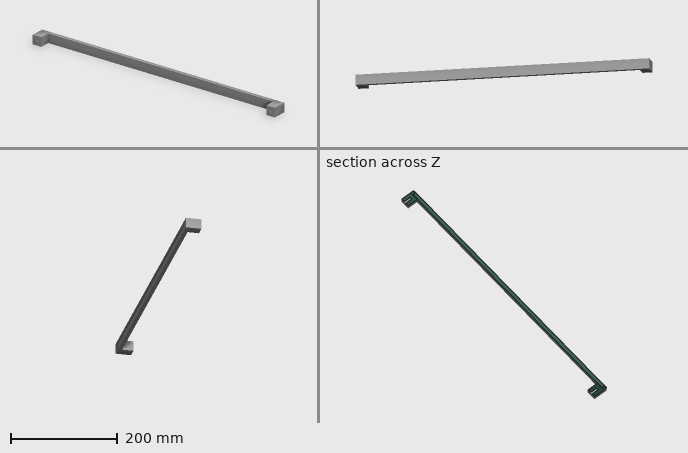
import cadquery as cq

length = 564.0
depth = 30.0
height = 20.0

post_width = 20.0
post_center_x = (length - post_width) / 2

bar_thickness = 8.0
end_wall = 5.0
bar_length = length - 2 * end_wall
bar_center_y = (depth - bar_thickness) / 2

screw_hole_diameter = 4.0
screw_hole_depth = 14.0


def make_bar():
    """Plain rectangular bar, flush with the back of the posts."""
    return cq.Workplane("XY").box(bar_length, bar_thickness, height).translate((0, bar_center_y, 0))


def make_post(center_x):
    """Rectangular post with a recess for the bar end and a screw hole."""
    block = cq.Workplane("XY").box(post_width, depth, height)
    drilled = block.faces("<Y").workplane().hole(screw_hole_diameter, screw_hole_depth)
    return drilled.translate((center_x, 0, 0)).cut(make_bar())


bar = make_bar()
posts = [make_post(side * post_center_x) for side in (-1, 1)]

result = cq.Compound.makeCompound([bar.val(), *[post.val() for post in posts]])